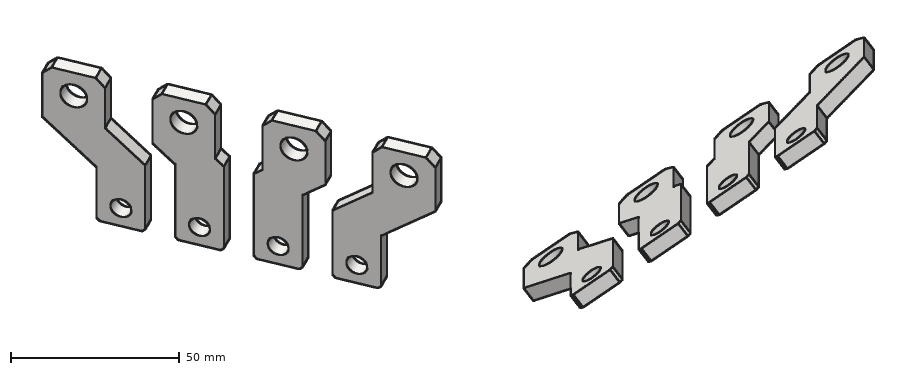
import cadquery as cq
import math

height = 55.0
thickness = 5.0

upper_width = 20.0
upper_chamfer = 3.0
upper_hole_diameter = 8.5
upper_hole_z = 46.0
upper_pitch = 35.0

lower_width = 15.5
lower_chamfer = 1.0
lower_hole_diameter = 6.6
lower_hole_z = 7.0
lower_pitch = 25.0

slope = math.tan(math.radians(40))
outer_knee_depth = 20.0
end_inner_knee_depth = 18.5
middle_inner_knee_depth = 20.0


def plate_outline(upper_x, lower_x, inner_knee_depth):
    """Corners of a plate whose leg is offset towards +X from its tab."""
    tab_left = upper_x - upper_width / 2
    tab_right = upper_x + upper_width / 2
    leg_left = lower_x - lower_width / 2
    leg_right = lower_x + lower_width / 2
    outer_knee_z = height - outer_knee_depth
    inner_knee_z = height - inner_knee_depth
    return [
        (tab_left, outer_knee_z),
        (tab_left, height - upper_chamfer),
        (tab_left + upper_chamfer, height),
        (tab_right - upper_chamfer, height),
        (tab_right, height - upper_chamfer),
        (tab_right, inner_knee_z),
        (leg_right, inner_knee_z - (leg_right - tab_right) * slope),
        (leg_right, lower_chamfer),
        (leg_right - lower_chamfer, 0),
        (leg_left + lower_chamfer, 0),
        (leg_left, lower_chamfer),
        (leg_left, outer_knee_z - (leg_left - tab_left) * slope),
    ]


def through_hole(x, z, diameter):
    """Cutter through the full plate thickness, along Y."""
    return (
        cq.Workplane("XZ")
        .center(x, z)
        .circle(diameter / 2)
        .extrude(thickness / 2, both=True)
    )


def offset_plate(pitches_from_center, inner_knee_depth):
    """Left-hand plate, placed by its distance from X = 0 in hole pitches."""
    upper_x = -pitches_from_center * upper_pitch
    lower_x = -pitches_from_center * lower_pitch
    plate = (
        cq.Workplane("XZ")
        .polyline(plate_outline(upper_x, lower_x, inner_knee_depth))
        .close()
        .extrude(thickness / 2, both=True)
    )
    plate = plate.cut(through_hole(upper_x, upper_hole_z, upper_hole_diameter))
    return plate.cut(through_hole(lower_x, lower_hole_z, lower_hole_diameter))


plates = []
for pitches, knee_depth in ((1.5, end_inner_knee_depth), (0.5, middle_inner_knee_depth)):
    left_plate = offset_plate(pitches, knee_depth)
    right_plate = left_plate.mirror("YZ")
    plates += [left_plate.val(), right_plate.val()]

result = cq.Compound.makeCompound(plates)